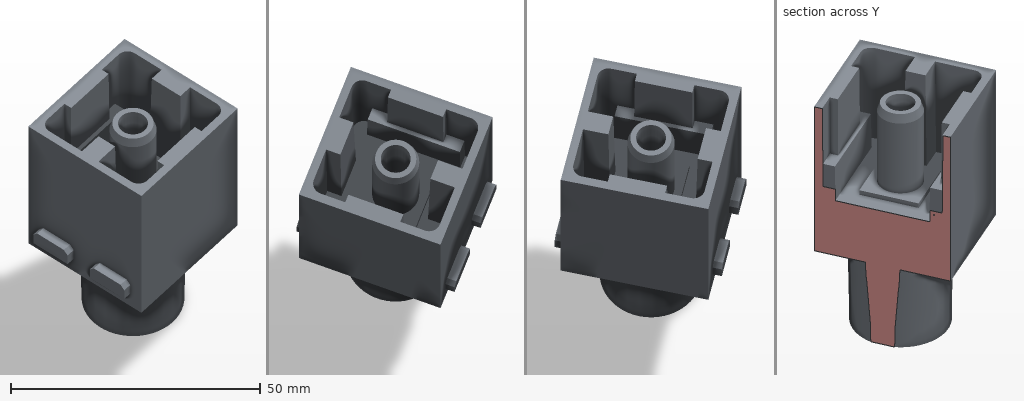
import cadquery as cq
import math

total_height = 54.5

body_x = 29.4
body_y = 30.4
body_height = 35.3

plug_length = total_height - body_height
plug_top_diameter = 21.35
plug_end_diameter = 20.65

pocket_x = 25.9
pocket_y = 27.05
pocket_corner_radius = 2.3
pocket_depth = 21.8
y_wall_draft = 1.0
x_wall_draft = 0.5
floor_z = body_height - pocket_depth

back_rib_width = 7.4
back_rib_depth = 3.05
front_rib_width = 4.3
front_rib_depth = 5.25
side_rib_width = 11.8
side_rib_depth = 1.75

pad_length = 20.05
pad_inner_x = 10.25
pad_height = 8.2
pad_draft = 1.0

plinth_x = 12.75
plinth_y = 12.8
plinth_height = 1.1
post_diameter = 9.5
post_tip_diameter = 8.3
post_recess = 1.75
post_chamfer_height = 1.9
bore_mouth_diameter = 6.0
bore_end_diameter = 5.0
bore_depth = 13.6
bore_cone_angle = 59.0

lug_height = 3.6
lug_base_z = 3.75
lug_chamfer = 1.0
lug_centre_x = 7.35
lug_projection = 1.9
front_lug_width = 8.9
back_lug_width = 7.05


def spread(draft, height):
    """Sideways run of a drafted wall over a height."""
    return height * math.tan(math.radians(draft))


def tapered_block(centre, base_size, top_size, base_z, height):
    """Block whose rectangular base and top share one centre and differ in size."""
    return (
        cq.Workplane("XY", origin=(centre[0], centre[1], base_z))
        .rect(*base_size)
        .workplane(offset=height)
        .rect(*top_size)
        .loft()
    )


def turned(profile):
    """Solid of revolution about Z from (radius, height) points."""
    return cq.Workplane("XZ").polyline(profile).close().revolve(360, (0, 0), (0, 1))


def housing_block():
    """Solid outer block of the housing, without its pocket."""
    return cq.Workplane("XY").box(body_x, body_y, body_height, centered=(True, True, False))


def pocket():
    """Solid that fills the open pocket."""
    x_run = 2 * spread(x_wall_draft, pocket_depth)
    y_run = 2 * spread(y_wall_draft, pocket_depth)
    floor_size = (pocket_x - x_run, pocket_y - y_run)
    cavity = tapered_block((0, 0), floor_size, (pocket_x, pocket_y), floor_z, pocket_depth)
    return cavity.edges("not(#Z or |X or |Y)").fillet(pocket_corner_radius)


def rib(direction, width, depth, draft):
    """Full-height wall rib; direction is the unit vector from the centre to its wall."""
    run = spread(draft, pocket_depth)
    across_y = direction[0] == 0
    wall = body_y / 2 if across_y else body_x / 2
    mouth = pocket_y / 2 if across_y else pocket_x / 2
    thickness = wall - mouth + depth
    reach = 2 * thickness
    base = (width + 2 * run, reach + 2 * run)
    top = (width, reach)
    if not across_y:
        base = base[::-1]
        top = top[::-1]
    centre = (direction[0] * wall, direction[1] * wall)
    block = tapered_block(centre, base, top, floor_z, pocket_depth)
    return block.intersect(housing_block())


def floor_pad(side):
    """Drafted pad on the floor; side is -1 or +1 for the side wall it runs along."""
    run = 2 * spread(pad_draft, pad_height)
    centre_x = body_x / 2
    top = (2 * (centre_x - pad_inner_x), pad_length - run)
    base = (top[0] + run, pad_length)
    block = tapered_block((side * centre_x, 0), base, top, floor_z, pad_height)
    return block.intersect(housing_block())


def contact_post():
    tip_z = body_height - post_recess
    return turned([
        (0, floor_z),
        (post_diameter / 2, floor_z),
        (post_diameter / 2, tip_z - post_chamfer_height),
        (post_tip_diameter / 2, tip_z),
        (0, tip_z),
    ])


def post_bore():
    tip_z = body_height - post_recess
    end_z = tip_z - bore_depth
    end_radius = bore_end_diameter / 2
    cone_height = end_radius / math.tan(math.radians(bore_cone_angle))
    return turned([
        (0, tip_z),
        (bore_mouth_diameter / 2, tip_z),
        (end_radius, end_z),
        (0, end_z - cone_height),
    ])


def plug():
    return turned([
        (0, 0),
        (plug_top_diameter / 2, 0),
        (plug_end_diameter / 2, -plug_length),
        (0, -plug_length),
    ])


def lug(centre_x, side, width):
    """Lug with two chamfered upper corners; side is -1 for the front face, +1 for the back."""
    centre_y = side * (body_y + lug_projection) / 2
    return (
        cq.Workplane("XY", origin=(centre_x, centre_y, lug_base_z))
        .box(width, lug_projection, lug_height, centered=(True, True, False))
        .edges("|Y and >Z")
        .chamfer(lug_chamfer)
    )


housing = housing_block().cut(pocket())

housing = housing.union(rib((0, 1), back_rib_width, back_rib_depth, y_wall_draft))
housing = housing.union(rib((0, -1), front_rib_width, front_rib_depth, y_wall_draft))
for side in (-1, 1):
    housing = housing.union(rib((side, 0), side_rib_width, side_rib_depth, x_wall_draft))
    housing = housing.union(floor_pad(side))

plinth = cq.Workplane("XY", origin=(0, 0, floor_z)).box(
    plinth_x, plinth_y, plinth_height, centered=(True, True, False)
)
housing = housing.union(plinth).union(contact_post()).cut(post_bore())
housing = housing.union(plug())

for lug_x in (-lug_centre_x, lug_centre_x):
    housing = housing.union(lug(lug_x, -1, front_lug_width))
    housing = housing.union(lug(lug_x, 1, back_lug_width))

result = housing